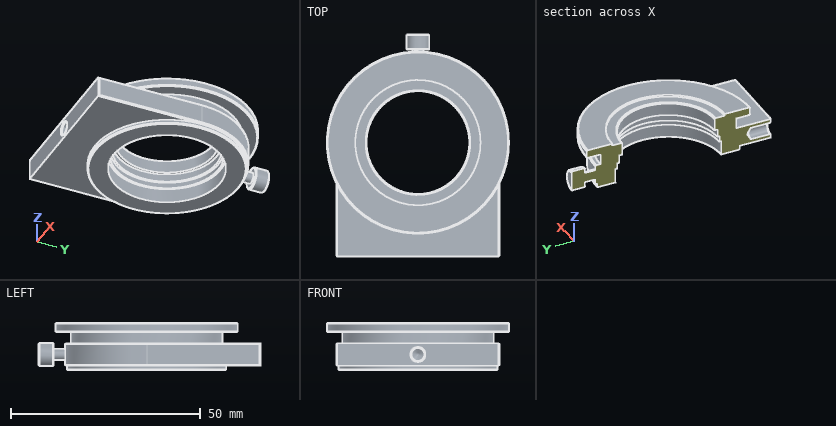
import cadquery as cq

TOTAL_HEIGHT = 12.5
BASE_RING_HEIGHT = 1.15
BODY_HEIGHT = 5.95
FLANGE_THICKNESS = 2.5
BODY_TOP = BASE_RING_HEIGHT + BODY_HEIGHT
BODY_MIDDLE = BASE_RING_HEIGHT + BODY_HEIGHT / 2
FLANGE_BOTTOM = TOTAL_HEIGHT - FLANGE_THICKNESS

TOTAL_LENGTH = 58.5
BODY_WIDTH = 43.0
BODY_FRONT = -30.0
SCREW_END = TOTAL_LENGTH + BODY_FRONT
BASE_RING_RADIUS = 21.0
NECK_RADIUS = 20.0
FLANGE_RADIUS = 24.015
EDGE_CHAMFER = 0.3

RECESS_RADIUS = 16.5
RECESS_DEPTH = 0.5
BORE_RADIUS = 13.5
BORE_CHAMFER = 0.3
BORE_BOTTOM = 8.15
STEP_RADIUS = 14.4
STEP_BOTTOM = 5.85
SEAT_RADIUS = 15.0
SEAT_BOTTOM = 4.15
LOWER_BORE_RADIUS = 15.5

HOLE_RADIUS = 1.7
HOLE_DEPTH = 5.85
HOLE_CONE_DEPTH = 1.0
HOLE_CHAMFER = 0.3

SCREW_HEAD_RADIUS = 3.05
SCREW_HEAD_LENGTH = 4.1
SCREW_SHANK_RADIUS = 1.5
SCREW_START = 17.55


def disc(radius, bottom, top):
    return cq.Workplane("XY").workplane(offset=bottom).circle(radius).extrude(top - bottom)


def clamp_body():
    """Flat block with a half-round back; its front face keeps sharp long edges."""
    half_width = BODY_WIDTH / 2
    body = (
        cq.Workplane("XY", origin=(0, 0, BASE_RING_HEIGHT))
        .moveTo(-half_width, BODY_FRONT)
        .lineTo(half_width, BODY_FRONT)
        .lineTo(half_width, 0)
        .threePointArc((0, half_width), (-half_width, 0))
        .close()
        .extrude(BODY_HEIGHT)
    )
    rim = body.faces("<Z or >Z").edges("not <Y")
    return rim.chamfer(EDGE_CHAMFER).faces("<Y").edges("|Z").chamfer(EDGE_CHAMFER)


def ring_stack():
    """Base ring, neck and top flange, all around the bore axis."""
    base = disc(BASE_RING_RADIUS, 0, BASE_RING_HEIGHT).faces("<Z").chamfer(EDGE_CHAMFER)
    neck = disc(NECK_RADIUS, BODY_TOP, FLANGE_BOTTOM)
    flange = disc(FLANGE_RADIUS, FLANGE_BOTTOM, TOTAL_HEIGHT).edges().chamfer(EDGE_CHAMFER)
    return base, neck, flange


def bore():
    """Half profile of the stepped bore, revolved around Z."""
    recess_floor = TOTAL_HEIGHT - RECESS_DEPTH
    return (
        cq.Workplane("XZ")
        .moveTo(0, 0)
        .lineTo(LOWER_BORE_RADIUS, 0)
        .lineTo(LOWER_BORE_RADIUS, SEAT_BOTTOM)
        .lineTo(SEAT_RADIUS, SEAT_BOTTOM)
        .lineTo(SEAT_RADIUS, STEP_BOTTOM)
        .lineTo(STEP_RADIUS, STEP_BOTTOM)
        .lineTo(STEP_RADIUS, BORE_BOTTOM)
        .lineTo(BORE_RADIUS, BORE_BOTTOM)
        .lineTo(BORE_RADIUS, recess_floor - BORE_CHAMFER)
        .lineTo(BORE_RADIUS + BORE_CHAMFER, recess_floor)
        .lineTo(RECESS_RADIUS, recess_floor)
        .lineTo(RECESS_RADIUS, TOTAL_HEIGHT)
        .lineTo(0, TOTAL_HEIGHT)
        .close()
        .revolve(360, (0, 0), (0, 1))
    )


def mounting_hole():
    """Countersunk drilled hole with a conical end, pointing towards +Y."""
    return (
        cq.Workplane("XY", origin=(0, BODY_FRONT, BODY_MIDDLE))
        .moveTo(0, 0)
        .lineTo(HOLE_RADIUS + HOLE_CHAMFER, 0)
        .lineTo(HOLE_RADIUS, HOLE_CHAMFER)
        .lineTo(HOLE_RADIUS, HOLE_DEPTH)
        .lineTo(0, HOLE_DEPTH + HOLE_CONE_DEPTH)
        .close()
        .revolve(360, (0, 0), (0, 1))
    )


def clamping_screw():
    """Shank and head along Y, with the shank rooted inside the body wall."""
    axis_end = cq.Workplane("XZ", origin=(0, SCREW_END, BODY_MIDDLE))
    head = axis_end.circle(SCREW_HEAD_RADIUS).extrude(SCREW_HEAD_LENGTH)
    head = head.faces("<Y or >Y").edges().chamfer(EDGE_CHAMFER)
    shank = axis_end.circle(SCREW_SHANK_RADIUS).extrude(SCREW_END - SCREW_START)
    return head.union(shank)


result = clamp_body()
for ring in ring_stack():
    result = result.union(ring)
result = result.union(clamping_screw()).cut(bore()).cut(mounting_hole())